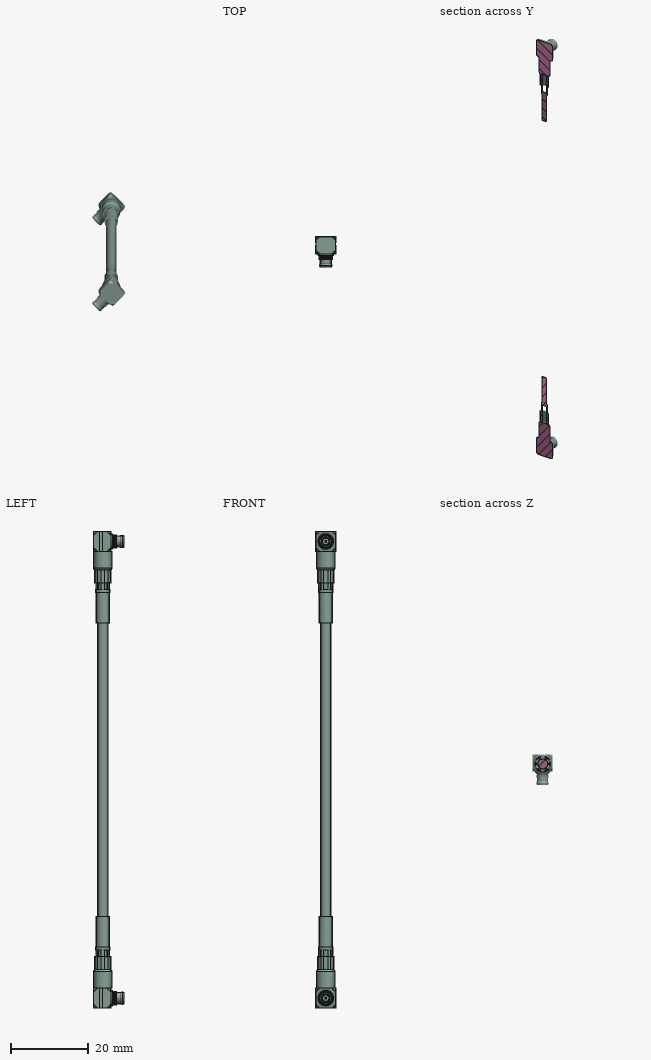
import cadquery as cq

overall_length = 123.1
overall_width = 7.9
half_length = overall_length / 2

shoulder_diameter = 4.8
shoulder_end = 9.5
shoulder_bevel = 0.5
sleeve_diameter = 4.2
sleeve_end = 13.3
shoulder_radius = shoulder_diameter / 2
sleeve_radius = sleeve_diameter / 2
sleeve_start = shoulder_end + shoulder_bevel

block_size = 5.2
block_front = 2.1
block_back = shoulder_radius
corner_cut = 1.0
groove_width = 0.7
groove_depth = 0.06
groove_offset = 0.5

plug_axis_z = half_length - block_size / 2
plug_reach = overall_width - block_back
flange_radius = 2.0
flange_end = 2.5
collar_radius = 1.7
collar_end = 3.6
ring_count = 2
ring_width = 0.2
ring_depth = 0.2
throat_radius = 1.5
throat_end = 4.5
lip_radius = 1.6
lip_reach = 5.0
mouth_radius = 1.5
bore_radius = 1.1
bore_depth = 1.8

contact_radius = 0.9
contact_hole_radius = 0.2
contact_hole_depth = 1.2
contact_seat = 0.7
contact_recess = 0.4

cable_radius = 1.4
ferrule_radius = 1.7
ferrule_end = 23.6
finger_radius = 1.8
finger_end = 15.8
slot_count = 6
first_slot_angle = 90
slot_width = 1.1
slot_end = 15.0


def bar_z(radius, start_depth, end_depth):
    """Cylinder on the cable axis between two depths."""
    base = cq.Workplane("XY", origin=(0, 0, half_length - end_depth))
    return base.circle(radius).extrude(end_depth - start_depth)


def bar_y(radius, start_reach, end_reach):
    """Cylinder on the plug axis between two reaches."""
    base = cq.Workplane("XZ", origin=(0, -start_reach, plug_axis_z))
    return base.circle(radius).extrude(end_reach - start_reach)


def corner_wedge(x, y, z, inward_x, inward_y, inward_z):
    """Tetrahedron on one block corner, with equal legs along the three block edges."""
    points = [
        cq.Vector(x, y, z),
        cq.Vector(x + corner_cut * inward_x, y, z),
        cq.Vector(x, y + corner_cut * inward_y, z),
        cq.Vector(x, y, z + corner_cut * inward_z),
    ]
    faces = []
    for skipped in points:
        triangle = [point for point in points if point is not skipped]
        faces.append(cq.Face.makeFromWires(cq.Wire.makePolygon(triangle, close=True)))
    return cq.Workplane(obj=cq.Solid.makeSolid(cq.Shell.makeShell(faces)))


def make_block():
    """Elbow block with its eight corners cut off and a shallow groove down each side."""
    bottom = half_length - block_size
    block = cq.Workplane("XY", origin=(0, -block_front, bottom)).box(
        block_size, block_front + block_back, block_size, centered=(True, False, False)
    )
    for x, inward_x in ((-block_size / 2, 1), (block_size / 2, -1)):
        for y, inward_y in ((-block_front, 1), (block_back, -1)):
            for z, inward_z in ((bottom, 1), (half_length, -1)):
                block = block.cut(corner_wedge(x, y, z, inward_x, inward_y, inward_z))
        groove = cq.Workplane("XY", origin=(x, groove_offset, bottom)).box(
            2 * groove_depth, groove_width, block_size, centered=(True, True, False)
        )
        block = block.cut(groove)
    return block


def make_barrel():
    """Beveled shoulder and the open sleeve below it."""
    shoulder = bar_z(shoulder_radius, block_size, sleeve_start)
    shoulder = shoulder.faces("<Z").edges().chamfer(shoulder_bevel, shoulder_radius - sleeve_radius)
    sleeve = bar_z(sleeve_radius, sleeve_start, sleeve_end)
    return shoulder.union(sleeve).cut(bar_z(finger_radius, sleeve_start, sleeve_end))


def make_plug():
    """Flange, ringed collar, throat and snap lip, with a bore in the front."""
    profile = [
        (0, block_front),
        (flange_radius, block_front),
        (flange_radius, flange_end),
        (collar_radius, flange_end),
        (collar_radius, collar_end),
        (throat_radius, collar_end),
        (throat_radius, throat_end),
        (lip_radius, lip_reach),
        (mouth_radius, plug_reach),
        (0, plug_reach),
    ]
    plug = (
        cq.Workplane("XY", origin=(0, 0, plug_axis_z))
        .polyline([(radius, -reach) for radius, reach in profile])
        .close()
        .revolve(360, (0, 0, 0), (0, 1, 0))
    )
    pitch = (collar_end - flange_end) / (ring_count + 1)
    for number in range(1, ring_count + 1):
        start = flange_end + number * pitch - ring_width / 2
        end = start + ring_width
        ring = bar_y(collar_radius, start, end).cut(bar_y(collar_radius - ring_depth, start, end))
        plug = plug.cut(ring)
    return plug.cut(bar_y(bore_radius, plug_reach - bore_depth, plug_reach))


def make_contact_blank():
    """Outer cylinder of the contact, from its seat to its tip."""
    seat_reach = plug_reach - bore_depth - contact_seat
    return bar_y(contact_radius, seat_reach, plug_reach - contact_recess)


def make_housing():
    """Block, barrel and plug in one piece, with the seat for the contact."""
    return make_block().union(make_barrel()).union(make_plug()).cut(make_contact_blank())


def make_contact():
    """Socket contact seated in the floor of the plug bore."""
    tip_reach = plug_reach - contact_recess
    hole = bar_y(contact_hole_radius, tip_reach - contact_hole_depth, tip_reach)
    return make_contact_blank().cut(hole)


def make_ferrule():
    """Tube on the cable whose slotted end fits in the sleeve of the housing."""
    tube = bar_z(ferrule_radius, sleeve_start, ferrule_end)
    fingers = bar_z(finger_radius, sleeve_start, finger_end)
    slots = (
        cq.Workplane("XY", origin=(0, 0, half_length - slot_end))
        .polarArray(finger_radius, first_slot_angle, 360, slot_count)
        .rect(finger_radius, slot_width)
        .extrude(slot_end - sleeve_start)
    )
    return tube.union(fingers).cut(slots).cut(make_cable())


def make_cable():
    """Cable that runs through both ferrules, from shoulder to shoulder."""
    return bar_z(cable_radius, sleeve_start, overall_length - sleeve_start)


bodies = [make_cable().val()]
for end_part in (make_housing(), make_contact(), make_ferrule()):
    bodies.append(end_part.val())
    bodies.append(end_part.mirror("XY").val())

result = cq.Compound.makeCompound(bodies)